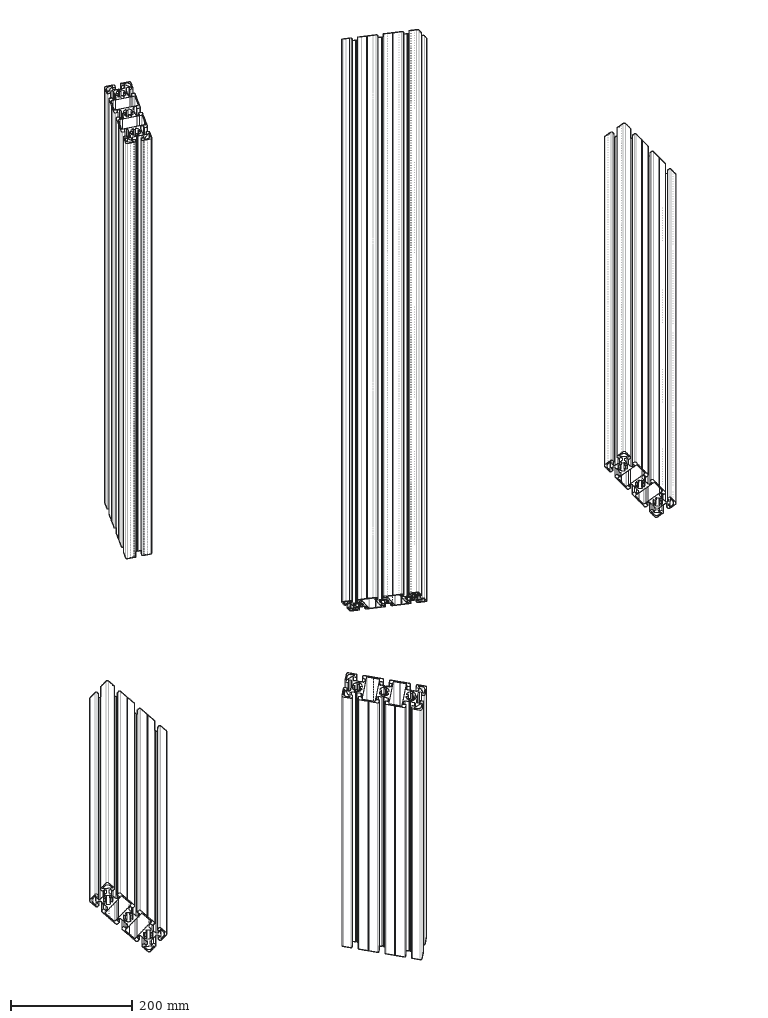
import cadquery as cq
import math

length = 1000.0
module = 45.0
module_count = 3
width = module_count * module
corner_radius = 3.0

slot_opening = 10.0
mouth_radius = 2.0
lip_thickness = 6.0
undercut_width = 20.0
undercut_bevel = 2.0
slot_depth = 12.0
floor_groove_width = 3.0
floor_groove_depth = 2.0

bore_diameter = 10.0
lobe_radius = 8.0
lobe_angle = 60
lobe_count = 4

skin = 2.0
chamber_width = 22.0
chamber_corner_radius = 1.0
corner_hollow_leg = 12.0
corner_hollow_radius = 6.0

seam_groove_width = 1.5
seam_groove_depth = 0.5

module_centres = [(i - (module_count - 1) / 2) * module for i in range(module_count)]
seam_positions = [(a + b) / 2 for a, b in zip(module_centres, module_centres[1:])]


def turned(solid, angle):
    """Turn a solid about the Z axis."""
    return solid.rotate((0, 0, 0), (0, 0, 1), angle)


def polar(radius, angle):
    """Point at a radius and an angle in degrees."""
    return radius * math.cos(math.radians(angle)), radius * math.sin(math.radians(angle))


def t_slot(face_distance):
    """T-slot centred on x = 0, open towards +Y at the given distance from the axis."""
    mouth = slot_opening / 2
    under = undercut_width / 2
    arc_inset = mouth_radius * (1 - math.sqrt(0.5))
    right_side = [
        (mouth, -mouth_radius),
        (mouth, -lip_thickness),
        (under, -lip_thickness),
        (under, undercut_bevel - slot_depth),
        (under - undercut_bevel, -slot_depth),
        (floor_groove_width / 2, -slot_depth),
    ]
    groove_tip = (0, -slot_depth - floor_groove_depth)
    left_side = [(-x, y) for x, y in reversed(right_side)]
    outline = (
        cq.Workplane("XY")
        .moveTo(mouth + mouth_radius, 0)
        .threePointArc((mouth + arc_inset, -arc_inset), right_side[0])
    )
    for point in right_side[1:] + [groove_tip] + left_side:
        outline = outline.lineTo(*point)
    outline = outline.threePointArc((-mouth - arc_inset, -arc_inset), (-mouth - mouth_radius, 0))
    return outline.close().extrude(length).translate((0, face_distance, 0))


def seam_groove():
    """V-groove in the +Y face, centred on x = 0."""
    half_width = seam_groove_width / 2
    face = module / 2
    corners = [(-half_width, face), (half_width, face), (0, face - seam_groove_depth)]
    return cq.Workplane("XY").polyline(corners).close().extrude(length)


def core_hole():
    """Round bore with a ring-sector lobe on each diagonal."""
    hole = cq.Workplane("XY").circle(bore_diameter / 2).extrude(length)
    half_angle = lobe_angle / 2
    lobe = (
        cq.Workplane("XY")
        .lineTo(*polar(lobe_radius, -half_angle))
        .threePointArc((lobe_radius, 0), polar(lobe_radius, half_angle))
        .close()
        .extrude(length)
    )
    step = 360 / lobe_count
    for i in range(lobe_count):
        hole = hole.union(turned(lobe, (i + 0.5) * step))
    return hole


def chamber():
    """Rectangular hollow between two neighbouring modules."""
    box = cq.Workplane("XY").rect(chamber_width, module - 2 * skin).extrude(length)
    return box.edges("|Z").fillet(chamber_corner_radius)


def corner_hollow():
    """Triangular hollow in the +X +Y corner, rounded at its outer corner."""
    x = width / 2 - skin
    y = module / 2 - skin
    corners = [(x, y), (x - corner_hollow_leg, y), (x, y - corner_hollow_leg)]
    triangle = cq.Workplane("XY").polyline(corners).close().extrude(length)
    return triangle.edges(cq.NearestToPointSelector((x, y, length / 2))).fillet(corner_hollow_radius)


profile = cq.Workplane("XY").rect(width, module).extrude(length)
profile = profile.edges("|Z").fillet(corner_radius)

for x in module_centres:
    profile = profile.cut(core_hole().translate((x, 0, 0)))
    for angle in (0, 180):
        profile = profile.cut(turned(t_slot(module / 2), angle).translate((x, 0, 0)))

for angle in (90, -90):
    profile = profile.cut(turned(t_slot(width / 2), angle))

for x in seam_positions:
    profile = profile.cut(chamber().translate((x, 0, 0)))
    for angle in (0, 180):
        profile = profile.cut(turned(seam_groove(), angle).translate((x, 0, 0)))

right_hollows = corner_hollow().union(corner_hollow().mirror("XZ"))
profile = profile.cut(right_hollows).cut(right_hollows.mirror("YZ"))

result = profile